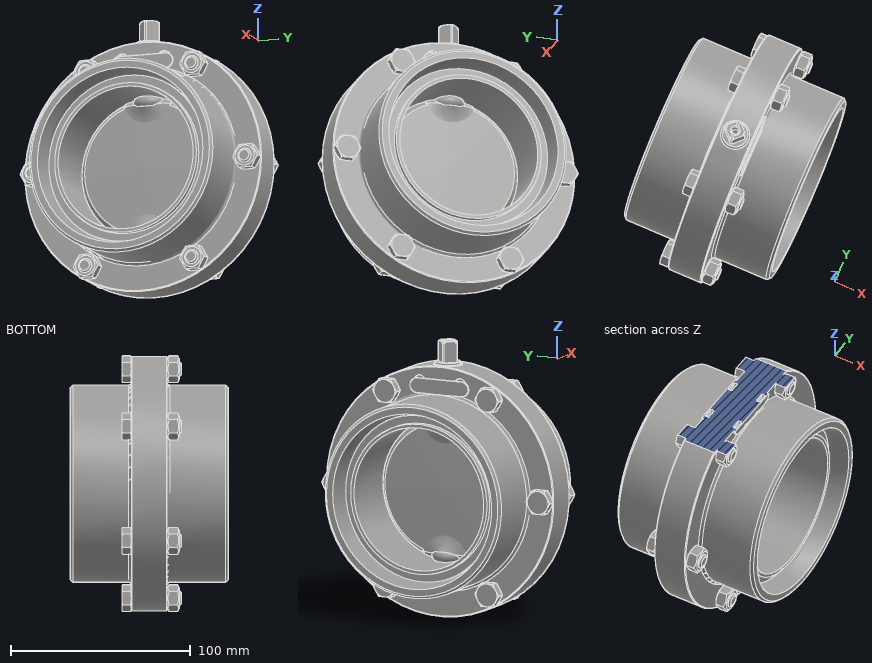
import cadquery as cq
import math

LENGTH = 88.0
PIPE_DIA = 110.0
PIPE_END_CHAMFER = 1.5
FLANGE_DIA = 142.0
FLANGE_WIDTH = 20.0
FLANGE_CHAMFER = 0.5
FLANGE_FILLET = 1.5

SOCKET_MOUTH_DIA = 99.2
SOCKET_DIA = 94.8
SOCKET_TAPER_DEPTH = 8.6
SOCKET_DEPTH = 11.7
LIP_OUTER_DIA = 85.0
LIP_HEIGHT = 3.5
BORE_DIA = 81.0

DISC_FACE_DIA = 75.0
DISC_EDGE_THICKNESS = 7.2
DISC_CENTRE_THICKNESS = 9.0
DISC_RIM_THICKNESS = 0.4
DISC_FLAT_DIA = 4.13
HUB_OFFSET = 38.4
HUB_FOOT_RADIUS = 14.0
HUB_FLANK_MID_RISE = 1.3
HUB_BEVEL_OFFSET = 1.0
HUB_TOP_RADIUS = 3.7
HUB_RISE = 4.2
HUB_COLLAR_END_RADIUS = 7.6
HUB_COLLAR_BULGE = 1.4
HUB_COLLAR_START_Z = 34.8

BOLT_COUNT = 6
BOLT_CIRCLE_DIA = 127.5
BOLT_DIA = 8.0
BOLT_TIP_DIA = 6.0
BOLT_TIP_X = 18.0
HEX_ACROSS_FLATS = 13.0
HEAD_HEIGHT = 5.3
HEAD_FACE_DIA = 13.0
HEAD_CHAMFER = 0.4
NUT_HEIGHT = 6.8
NUT_FACE_DIA = 11.4
NUT_CHAMFER = 1.05

PLATE_LENGTH = 36.2
PLATE_HEIGHT = 8.4
PLATE_THICKNESS = 1.0
PLATE_Z = 59.2
PIN_HOLE_DIA = 7.32
PIN_HOLE_SPACING = 25.2
PIN_HOLE_Z = 61.35
PIN_HOLE_DEPTH = 2.0

STEM_TOP_Z = 84.0
STEM_ACROSS_FLATS = 9.0
STEM_CORNER_DIA = 11.7
STEM_CHAMFER = 0.8
STEM_COLLAR_DIA = 14.0
STEM_COLLAR_TOP_Z = 72.2
STEM_COLLAR_BASE_DIA = 16.2
STEM_HOLE_DIA = 4.13
STEM_HOLE_MOUTH_DIA = 5.7
STEM_HOLE_DEPTH = 9.0
DRILL_POINT_ANGLE = 118.0
SLOT_WIDTH = 1.3
SLOT_DEPTH = 0.8

STEM_SEAT_DEPTH = (STEM_COLLAR_BASE_DIA - STEM_COLLAR_DIA) / 2
STEM_SEAT_Z = FLANGE_DIA / 2 - STEM_SEAT_DEPTH
FLANGE_FACE_X = FLANGE_WIDTH / 2
DISC_EDGE_X = DISC_EDGE_THICKNESS / 2
HEX_CORNER_DIA = HEX_ACROSS_FLATS / math.cos(math.pi / 6)


def turned_about_x(outline):
    """Revolve an (x, radius) outline about the X axis."""
    return outline.close().revolve(360, (0, 0, 0), (1, 0, 0))


def turned_about_z(points):
    """Revolve (radius, z) points about the Z axis."""
    return cq.Workplane("XZ").polyline(points).close().revolve(360, (0, 0, 0), (0, 1, 0))


def both_sides(half):
    """Join a +X or -X feature with its mirror image."""
    return half.union(half.mirror("YZ"))


def body_half():
    end_x = LENGTH / 2
    floor_x = end_x - SOCKET_DEPTH
    pipe_r = PIPE_DIA / 2
    flange_r = FLANGE_DIA / 2
    fillet_mid = FLANGE_FILLET * (1 - math.sqrt(0.5))
    return turned_about_x(
        cq.Workplane("XY")
        .moveTo(0, BORE_DIA / 2)
        .lineTo(0, flange_r)
        .lineTo(FLANGE_FACE_X - FLANGE_CHAMFER, flange_r)
        .lineTo(FLANGE_FACE_X, flange_r - FLANGE_CHAMFER)
        .lineTo(FLANGE_FACE_X, pipe_r + FLANGE_FILLET)
        .threePointArc(
            (FLANGE_FACE_X + fillet_mid, pipe_r + fillet_mid),
            (FLANGE_FACE_X + FLANGE_FILLET, pipe_r),
        )
        .lineTo(end_x - PIPE_END_CHAMFER, pipe_r)
        .lineTo(end_x, pipe_r - PIPE_END_CHAMFER)
        .lineTo(end_x, SOCKET_MOUTH_DIA / 2)
        .lineTo(end_x - SOCKET_TAPER_DEPTH, SOCKET_DIA / 2)
        .lineTo(floor_x, SOCKET_DIA / 2)
        .lineTo(floor_x, LIP_OUTER_DIA / 2)
        .lineTo(floor_x + LIP_HEIGHT, LIP_OUTER_DIA / 2)
        .lineTo(floor_x + LIP_HEIGHT, BORE_DIA / 2)
        .lineTo(0, BORE_DIA / 2)
    )


def disc_half():
    bore_r = BORE_DIA / 2
    rim_x = DISC_RIM_THICKNESS / 2
    centre_x = DISC_CENTRE_THICKNESS / 2
    return turned_about_x(
        cq.Workplane("XY")
        .moveTo(0, 0)
        .lineTo(centre_x, 0)
        .lineTo(centre_x, DISC_FLAT_DIA / 2)
        .lineTo(DISC_EDGE_X, DISC_FACE_DIA / 2)
        .lineTo(rim_x, bore_r)
        .lineTo(0, bore_r)
    )


def hub_bevel_limit():
    """Cone parallel to the disc bevel that bounds the hub flank near the bore."""
    face_r = DISC_FACE_DIA / 2
    bore_r = BORE_DIA / 2
    bevel_slope = (bore_r - face_r) / (DISC_EDGE_X - DISC_RIM_THICKNESS / 2)
    base_x = DISC_RIM_THICKNESS / 2 + HUB_BEVEL_OFFSET
    apex_x = base_x + bore_r / bevel_slope
    return turned_about_x(
        cq.Workplane("XY")
        .moveTo(0, 0)
        .lineTo(0, bore_r)
        .lineTo(base_x, bore_r)
        .lineTo(apex_x, 0)
    )


def hub_flank_half():
    """Concave swelling of the disc face, turned about an axis parallel to X."""
    top_x = DISC_EDGE_X + HUB_RISE
    flank_mid_r = (HUB_TOP_RADIUS + HUB_FOOT_RADIUS) / 2
    flank_mid_x = DISC_EDGE_X + HUB_FLANK_MID_RISE
    flank = turned_about_x(
        cq.Workplane("XY")
        .moveTo(0, 0)
        .lineTo(0, HUB_FOOT_RADIUS)
        .lineTo(DISC_EDGE_X, HUB_FOOT_RADIUS)
        .threePointArc((flank_mid_x, flank_mid_r), (top_x, HUB_TOP_RADIUS))
        .lineTo(top_x, 0)
    )
    return flank.translate((0, 0, HUB_OFFSET)).intersect(hub_bevel_limit())


def hub_collar():
    """Round-edged collar about the shaft axis, next to the bore wall."""
    end_z = BORE_DIA / 2
    mid_z = (HUB_COLLAR_START_Z + end_z) / 2
    return (
        cq.Workplane("XZ")
        .moveTo(0, HUB_COLLAR_START_Z)
        .lineTo(HUB_COLLAR_END_RADIUS, HUB_COLLAR_START_Z)
        .threePointArc((HUB_COLLAR_END_RADIUS + HUB_COLLAR_BULGE, mid_z), (HUB_COLLAR_END_RADIUS, end_z))
        .lineTo(0, end_z)
        .close()
        .revolve(360, (0, 0, 0), (0, 1, 0))
    )


def shaft_hub():
    bore_space = cq.Workplane("YZ").circle(BORE_DIA / 2).extrude(LENGTH / 2, both=True)
    return both_sides(hub_flank_half()).union(hub_collar()).intersect(bore_space)


def chamfered_hex(height, face_dia, chamfer):
    """Hexagon along +X with corners on Y and a conical chamfer on both faces."""
    blank = cq.Workplane("YZ").polygon(6, HEX_CORNER_DIA).extrude(height)
    corner_r = HEX_CORNER_DIA / 2
    envelope = turned_about_x(
        cq.Workplane("XY")
        .moveTo(0, 0)
        .lineTo(0, face_dia / 2)
        .lineTo(chamfer, corner_r)
        .lineTo(height - chamfer, corner_r)
        .lineTo(height, face_dia / 2)
        .lineTo(height, 0)
    )
    return blank.intersect(envelope)


def bolt_with_nut():
    head = chamfered_hex(HEAD_HEIGHT, HEAD_FACE_DIA, HEAD_CHAMFER)
    head = head.mirror("YZ").translate((-FLANGE_FACE_X, 0, 0))
    nut = chamfered_hex(NUT_HEIGHT, NUT_FACE_DIA, NUT_CHAMFER)
    nut = nut.translate((FLANGE_FACE_X, 0, 0))
    tip_chamfer = (BOLT_DIA - BOLT_TIP_DIA) / 2
    shank = (
        cq.Workplane("YZ", origin=(-FLANGE_FACE_X, 0, 0))
        .circle(BOLT_DIA / 2)
        .extrude(FLANGE_FACE_X + BOLT_TIP_X)
        .faces(">X")
        .chamfer(tip_chamfer)
    )
    return head.union(nut).union(shank)


def label_plate():
    return (
        cq.Workplane("YZ", origin=(FLANGE_FACE_X, 0, PLATE_Z))
        .slot2D(PLATE_LENGTH, PLATE_HEIGHT)
        .extrude(PLATE_THICKNESS)
    )


def pin_holes():
    return (
        cq.Workplane("YZ", origin=(FLANGE_FACE_X, 0, PIN_HOLE_Z))
        .pushPoints([(-PIN_HOLE_SPACING / 2, 0), (PIN_HOLE_SPACING / 2, 0)])
        .circle(PIN_HOLE_DIA / 2)
        .extrude(-PIN_HOLE_DEPTH)
    )


def stem_seat():
    """Round pocket in the flange rim around the stem collar."""
    pocket = cq.Workplane("XY", origin=(0, 0, STEM_SEAT_Z)).circle(STEM_COLLAR_BASE_DIA / 2)
    return pocket.extrude(STEM_SEAT_DEPTH)


def stem():
    rim_z = FLANGE_DIA / 2
    corner_r = STEM_CORNER_DIA / 2
    collar = turned_about_z([
        (0, STEM_SEAT_Z),
        (STEM_COLLAR_BASE_DIA / 2, STEM_SEAT_Z),
        (STEM_COLLAR_DIA / 2, rim_z),
        (STEM_COLLAR_DIA / 2, STEM_COLLAR_TOP_Z),
        (0, STEM_COLLAR_TOP_Z),
    ])
    square = (
        cq.Workplane("XY", origin=(0, 0, STEM_COLLAR_TOP_Z))
        .transformed(rotate=(0, 0, 45))
        .rect(STEM_ACROSS_FLATS, STEM_ACROSS_FLATS)
        .extrude(STEM_TOP_Z - STEM_COLLAR_TOP_Z)
    )
    envelope = turned_about_z([
        (0, STEM_COLLAR_TOP_Z),
        (corner_r, STEM_COLLAR_TOP_Z),
        (corner_r, STEM_TOP_Z - STEM_CHAMFER),
        (corner_r - STEM_CHAMFER, STEM_TOP_Z),
        (0, STEM_TOP_Z),
    ])
    return collar.union(square.intersect(envelope)).cut(stem_hole()).cut(stem_slot())


def stem_hole():
    hole_r = STEM_HOLE_DIA / 2
    mouth_r = STEM_HOLE_MOUTH_DIA / 2
    bottom_z = STEM_TOP_Z - STEM_HOLE_DEPTH
    point_height = hole_r / math.tan(math.radians(DRILL_POINT_ANGLE / 2))
    return turned_about_z([
        (0, bottom_z - point_height),
        (hole_r, bottom_z),
        (hole_r, STEM_TOP_Z - (mouth_r - hole_r)),
        (mouth_r, STEM_TOP_Z),
        (0, STEM_TOP_Z),
    ])


def stem_slot():
    """Position mark across the stem top, lying along Y with the disc shut."""
    outline = cq.Workplane("XY", origin=(0, 0, STEM_TOP_Z)).rect(SLOT_WIDTH, STEM_CORNER_DIA)
    return outline.extrude(-SLOT_DEPTH)


valve = both_sides(body_half()).union(both_sides(disc_half()))
upper_hub = shaft_hub()
valve = valve.union(upper_hub).union(upper_hub.mirror("XY"))
valve = valve.cut(both_sides(pin_holes())).union(both_sides(label_plate()))

for index in range(BOLT_COUNT):
    angle = math.radians(index * 360 / BOLT_COUNT)
    bolt_y = BOLT_CIRCLE_DIA / 2 * math.cos(angle)
    bolt_z = BOLT_CIRCLE_DIA / 2 * math.sin(angle)
    valve = valve.union(bolt_with_nut().translate((0, bolt_y, bolt_z)))

result = valve.cut(stem_seat()).union(stem())